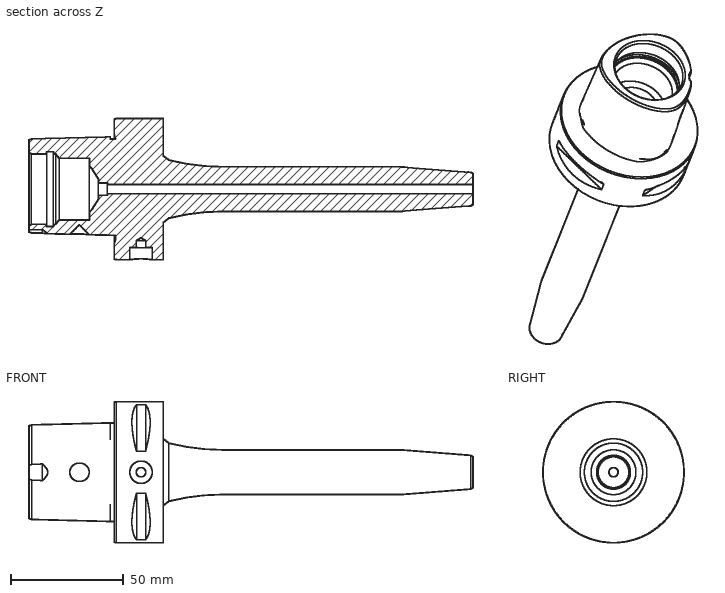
import math

import cadquery as cq


SHANK_LENGTH = 38.0
SHANK_MEAN_RADIUS = 22.0
LOBE_HEIGHT = 1.4
LOBE_COUNT = 3
TAPER_SLOPE = 1 / 40
NECK_LENGTH = 1.7
NECK_RADIUS = 22.4
END_CHAMFER_LENGTH = 1.4
END_CHAMFER_DEPTH = 0.5
LOBE_HALF_SPAN = 26.0
POINTS_PER_SIDE = 7

FLANGE_RADIUS = 31.5
FLANGE_WIDTH = 22.0
FLANGE_CHAMFER_LENGTH = 0.9
FLANGE_CHAMFER_DEPTH = 0.3
RELIEF_OUTER_RADIUS = 24.3
RELIEF_DEPTH = 0.6

NOSE_LENGTH = 160.0
NOSE_RADIUS = 10.0
COLLAR_RADIUS = 14.9
FLARE_RADIUS = 13.0
FLARE_START = 24.4
FLARE_END = 48.5
TIP_TAPER_START = 128.0
TIP_TAPER_ANGLE = 4.5
TIP_CHAMFER_LENGTH = 1.0
TIP_CHAMFER_DEPTH = 0.7

MOUTH_RADIUS = 16.4
BORE_RADIUS = 15.6
MOUTH_CHAMFER_DEPTH = 1.2
GROOVE_RADIUS = 16.6
GROOVE_START = 8.0
GROOVE_END = 11.0
STEP_START = 12.0
STEP_END = 13.5
INNER_BORE_RADIUS = 13.7
INNER_BORE_END = 27.0
PILOT_RADIUS = 10.2
PILOT_CHAMFER_RADIUS = 9.2
FUNNEL_START = INNER_BORE_END + PILOT_RADIUS - PILOT_CHAMFER_RADIUS
FUNNEL_EXIT_RADIUS = 4.5
FUNNEL_END = 31.0
COOLANT_ENTRY_RADIUS = 2.7
COOLANT_ENTRY_END = 35.0
COOLANT_RADIUS = 2.0

SLOT_COUNT = 4
SLOT_X = 12.0
SLOT_FLOOR_WIDTH = 4.0
SLOT_DEPTH = 3.6
SLOT_WALL_ANGLE = 30.0

DRILL_POINT_ANGLE = 118.0
NOTCH_RADIUS = 5.2
NOTCH_FLOOR_Y = -18.1
NOTCH_LENGTH = 6.1
NOTCH_POINT_LENGTH = 6.8
SIDE_HOLE_X = -15.5
SIDE_HOLE_RADIUS = 4.4
SIDE_HOLE_FLOOR_Y = -20.3
SIDE_HOLE_POINT_LENGTH = SIDE_HOLE_RADIUS
COUNTERBORE_RADIUS = 5.0
COUNTERBORE_DEPTH = 5.5
SCREW_HOLE_RADIUS = 2.1
SCREW_HOLE_DEPTH = 8.5


def revolve_about_x(profile):
    """Turn a closed XZ profile about the X axis."""
    return profile.close().revolve(360, (0, 0, 0), (1, 0, 0))


def lobed_point(mean_radius, angle):
    """Point of the constant-width curve whose outward normal has this angle (degrees)."""
    normal = math.radians(angle)
    support = mean_radius + LOBE_HEIGHT * math.cos(LOBE_COUNT * normal)
    slope = -LOBE_COUNT * LOBE_HEIGHT * math.sin(LOBE_COUNT * normal)
    y = support * math.cos(normal) - slope * math.sin(normal)
    z = support * math.sin(normal) + slope * math.cos(normal)
    return (y, z)


def lobed_outline(x, mean_radius):
    """Closed wire across X with one lobe toward +Y: a lobe and a flank alternate."""
    pitch = 360 / LOBE_COUNT
    edges = []
    for lobe in range(LOBE_COUNT):
        joints = [
            lobe * pitch - LOBE_HALF_SPAN,
            lobe * pitch + LOBE_HALF_SPAN,
            (lobe + 1) * pitch - LOBE_HALF_SPAN,
        ]
        for first, last in zip(joints, joints[1:]):
            step = (last - first) / (POINTS_PER_SIDE - 1)
            angles = [first + i * step for i in range(POINTS_PER_SIDE)]
            points = [cq.Vector(x, *lobed_point(mean_radius, angle)) for angle in angles]
            tangents = []
            for angle in (first, last):
                radians = math.radians(angle)
                tangents.append(cq.Vector(0, -math.sin(radians), math.cos(radians)))
            edges.append(cq.Edge.makeSpline(points, tangents=tangents))
    return cq.Wire.assembleEdges(edges)


def lobed_section(start, start_radius, end, end_radius):
    """Lobed solid between two X positions."""
    outlines = [lobed_outline(start, start_radius), lobed_outline(end, end_radius)]
    return cq.Workplane(cq.Solid.makeLoft(outlines, True))


def shank():
    taper_start = -SHANK_LENGTH + END_CHAMFER_LENGTH
    small_radius = SHANK_MEAN_RADIUS + TAPER_SLOPE * (taper_start + NECK_LENGTH)
    tip_radius = small_radius - END_CHAMFER_DEPTH
    end_chamfer = lobed_section(-SHANK_LENGTH, tip_radius, taper_start, small_radius)
    taper = lobed_section(taper_start, small_radius, -NECK_LENGTH, SHANK_MEAN_RADIUS)
    neck_blank = lobed_section(-NECK_LENGTH, SHANK_MEAN_RADIUS, RELIEF_DEPTH, SHANK_MEAN_RADIUS)
    neck_limit = (
        cq.Workplane("YZ", origin=(-NECK_LENGTH, 0, 0))
        .circle(NECK_RADIUS)
        .extrude(NECK_LENGTH + RELIEF_DEPTH)
    )
    return end_chamfer.union(taper).union(neck_blank.intersect(neck_limit))


def flange_and_nose():
    flare_rise = FLARE_RADIUS - NOSE_RADIUS
    flare_length = FLARE_END - FLARE_START
    arc_radius = (flare_length**2 + flare_rise**2) / (2 * flare_rise)
    half_sweep = math.asin(flare_length / arc_radius) / 2
    flare_middle = (
        FLARE_END - arc_radius * math.sin(half_sweep),
        NOSE_RADIUS + arc_radius * (1 - math.cos(half_sweep)),
    )
    tip_slope = math.tan(math.radians(TIP_TAPER_ANGLE))
    chamfer_start = NOSE_LENGTH - TIP_CHAMFER_LENGTH
    tip_radius = NOSE_RADIUS - tip_slope * (chamfer_start - TIP_TAPER_START)
    profile = (
        cq.Workplane("XZ")
        .moveTo(RELIEF_DEPTH, 0)
        .lineTo(RELIEF_DEPTH, NECK_RADIUS)
        .lineTo(0, RELIEF_OUTER_RADIUS)
        .lineTo(0, FLANGE_RADIUS - FLANGE_CHAMFER_DEPTH)
        .lineTo(FLANGE_CHAMFER_LENGTH, FLANGE_RADIUS)
        .lineTo(FLANGE_WIDTH, FLANGE_RADIUS)
        .lineTo(FLANGE_WIDTH, COLLAR_RADIUS)
        .lineTo(FLARE_START, FLARE_RADIUS)
        .threePointArc(flare_middle, (FLARE_END, NOSE_RADIUS))
        .lineTo(TIP_TAPER_START, NOSE_RADIUS)
        .lineTo(chamfer_start, tip_radius)
        .lineTo(NOSE_LENGTH, tip_radius - TIP_CHAMFER_DEPTH)
        .lineTo(NOSE_LENGTH, 0)
    )
    return revolve_about_x(profile)


def bore():
    profile = (
        cq.Workplane("XZ", origin=(-SHANK_LENGTH, 0, 0))
        .lineTo(0, MOUTH_RADIUS)
        .lineTo(MOUTH_CHAMFER_DEPTH, BORE_RADIUS)
        .lineTo(GROOVE_START, BORE_RADIUS)
        .lineTo(GROOVE_START, GROOVE_RADIUS)
        .lineTo(GROOVE_END, GROOVE_RADIUS)
        .lineTo(GROOVE_END, BORE_RADIUS)
        .lineTo(STEP_START, BORE_RADIUS)
        .lineTo(STEP_END, INNER_BORE_RADIUS)
        .lineTo(INNER_BORE_END, INNER_BORE_RADIUS)
        .lineTo(INNER_BORE_END, PILOT_RADIUS)
        .lineTo(FUNNEL_START, PILOT_CHAMFER_RADIUS)
        .lineTo(FUNNEL_END, FUNNEL_EXIT_RADIUS)
        .lineTo(FUNNEL_END, COOLANT_ENTRY_RADIUS)
        .lineTo(COOLANT_ENTRY_END, COOLANT_ENTRY_RADIUS)
        .lineTo(COOLANT_ENTRY_END, COOLANT_RADIUS)
        .lineTo(SHANK_LENGTH + NOSE_LENGTH, COOLANT_RADIUS)
        .lineTo(SHANK_LENGTH + NOSE_LENGTH, 0)
    )
    return revolve_about_x(profile)


def drill(start, direction, radius, length, point_length):
    """Round cutter with a conical point beyond its full-diameter length."""
    origin = cq.Vector(*start)
    axis = cq.Vector(*direction)
    body = cq.Solid.makeCylinder(radius, length, origin, axis)
    point = cq.Solid.makeCone(radius, 0, point_length, origin + axis * length, axis)
    return cq.Workplane(body.fuse(point))


def gripper_slot(angle):
    """Straight V-sided groove cut along a chord of the flange."""
    half_floor = SLOT_FLOOR_WIDTH / 2
    spread = math.tan(math.radians(SLOT_WALL_ANGLE))
    floor_height = FLANGE_RADIUS - SLOT_DEPTH
    cutter_height = FLANGE_RADIUS + SLOT_DEPTH
    half_mouth = half_floor + spread * (cutter_height - floor_height)
    groove = (
        cq.Workplane("XY")
        .polyline(
            [
                (SLOT_X - half_floor, floor_height),
                (SLOT_X + half_floor, floor_height),
                (SLOT_X + half_mouth, cutter_height),
                (SLOT_X - half_mouth, cutter_height),
            ]
        )
        .close()
        .extrude(FLANGE_RADIUS, both=True)
    )
    return groove.rotate((0, 0, 0), (1, 0, 0), angle)


def end_notch():
    """Shallow round-bottomed notch running in from the open end of the shank."""
    start = (-SHANK_LENGTH, NOTCH_FLOOR_Y - NOTCH_RADIUS, 0)
    return drill(start, (1, 0, 0), NOTCH_RADIUS, NOTCH_LENGTH, NOTCH_POINT_LENGTH)


def side_hole():
    start_y = -FLANGE_RADIUS
    length = SIDE_HOLE_FLOOR_Y - start_y
    start = (SIDE_HOLE_X, start_y, 0)
    return drill(start, (0, 1, 0), SIDE_HOLE_RADIUS, length, SIDE_HOLE_POINT_LENGTH)


def flange_hole():
    start = (SLOT_X, -FLANGE_RADIUS, 0)
    point_length = SCREW_HOLE_RADIUS / math.tan(math.radians(DRILL_POINT_ANGLE / 2))
    hole = drill(start, (0, 1, 0), SCREW_HOLE_RADIUS, SCREW_HOLE_DEPTH, point_length)
    counterbore = cq.Solid.makeCylinder(
        COUNTERBORE_RADIUS, COUNTERBORE_DEPTH, cq.Vector(*start), cq.Vector(0, 1, 0)
    )
    return hole.union(cq.Workplane(counterbore))


result = flange_and_nose().union(shank()).cut(bore())
for index in range(SLOT_COUNT):
    result = result.cut(gripper_slot((index + 0.5) * 360 / SLOT_COUNT))
result = result.cut(end_notch()).cut(side_hole()).cut(flange_hole())